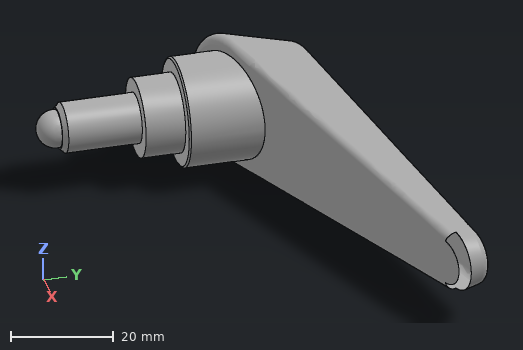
import cadquery as cq
import math


LOWER_SLOPE = 20.1
UPPER_SLOPE = 13.4
LOWER_HEIGHT = 11.2
UPPER_HEIGHT = 27.0
LOWER_HEAD_RADIUS = 14.1
LOWER_HEAD_CENTRE = -2.0
LOWER_TIP_RADIUS = 6.7
LOWER_TIP_CENTRE = 72.6
UPPER_HEAD_RADIUS = 10.3
UPPER_HEAD_CENTRE = -0.8
UPPER_TIP_RADIUS = 5.5
UPPER_TIP_CENTRE = 69.25
ARM_FILLET = 1.8

BOSS_RADIUS = 11.0
BOSS_TOP = 17.7
BOSS_CHAMFER = 0.35

STEM_RADIUS = 7.3
STEM_TOP = 27.6
COLLAR_RADIUS = 8.0
COLLAR_LENGTH = 8.0
PIN_RADIUS = 5.05
PIN_LENGTH = 15.8
PIN_CHAMFER = 1.0
BALL_RADIUS = 3.8
TIP_LENGTH = 28.0


def inclined_outline(slope, height, head_centre, head_radius, tip_centre, tip_radius):
    """Closed outline of two circles and their common tangents, in an inclined plane."""
    angle = math.radians(slope)
    along = (math.cos(angle), math.sin(angle), 0)
    normal = (math.sin(angle), -math.cos(angle), 0)
    plane = cq.Plane(origin=(0, height, 0), xDir=along, normal=normal)

    tangent_sine = (head_radius - tip_radius) / (tip_centre - head_centre)
    tangent_cosine = math.sqrt(1 - tangent_sine**2)
    head_x = head_centre + head_radius * tangent_sine
    head_y = head_radius * tangent_cosine
    tip_x = tip_centre + tip_radius * tangent_sine
    tip_y = tip_radius * tangent_cosine
    return (
        cq.Workplane(plane)
        .moveTo(head_x, -head_y)
        .lineTo(tip_x, -tip_y)
        .threePointArc((tip_centre + tip_radius, 0), (tip_x, tip_y))
        .lineTo(head_x, head_y)
        .threePointArc((head_centre - head_radius, 0), (head_x, -head_y))
        .close()
        .val()
    )


def cylinder_along_y(radius, bottom, top):
    return cq.Workplane("XZ", origin=(0, top, 0)).circle(radius).extrude(top - bottom)


def make_arm():
    lower = inclined_outline(
        LOWER_SLOPE, LOWER_HEIGHT,
        LOWER_HEAD_CENTRE, LOWER_HEAD_RADIUS, LOWER_TIP_CENTRE, LOWER_TIP_RADIUS,
    )
    upper = inclined_outline(
        UPPER_SLOPE, UPPER_HEIGHT,
        UPPER_HEAD_CENTRE, UPPER_HEAD_RADIUS, UPPER_TIP_CENTRE, UPPER_TIP_RADIUS,
    )
    wedge = cq.Workplane(cq.Solid.makeLoft([lower, upper], True))
    return wedge.faces("<Y or >Y").edges().fillet(ARM_FILLET)


def make_lever():
    boss = cylinder_along_y(BOSS_RADIUS, 0, BOSS_TOP).faces("<Y").chamfer(BOSS_CHAMFER)
    bore = cylinder_along_y(STEM_RADIUS, 0, UPPER_HEIGHT + BOSS_RADIUS)
    return make_arm().union(boss).cut(bore)


def make_clamping_screw():
    stem = cylinder_along_y(STEM_RADIUS, 0, STEM_TOP)
    collar = cylinder_along_y(COLLAR_RADIUS, -COLLAR_LENGTH, 0)
    pin_end = -COLLAR_LENGTH - PIN_LENGTH
    pin = cylinder_along_y(PIN_RADIUS, pin_end, -COLLAR_LENGTH).faces("<Y").chamfer(PIN_CHAMFER)
    ball = cq.Workplane("XY").sphere(BALL_RADIUS).translate((0, BALL_RADIUS - TIP_LENGTH, 0))
    return stem.union(collar).union(pin).union(ball)


lever = make_lever()
clamping_screw = make_clamping_screw()

result = cq.Compound.makeCompound([lever.val(), clamping_screw.val()])